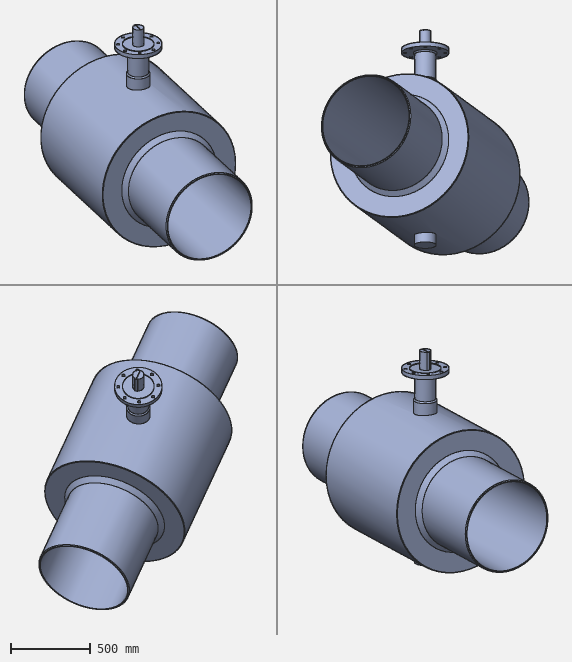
import cadquery as cq

LENGTH = 2000.0

PIPE_DIAMETER = 610.0
BORE_DIAMETER = 588.0
BEVEL_DIAMETER = 595.0
BEVEL_LENGTH = 5.0

HOUSING_DIAMETER = 945.0
HOUSING_LENGTH = 872.0
HOUSING_CHAMFER = 5.0
SHOULDER_DIAMETER = 672.0
SHOULDER_LENGTH = 32.0

COLLAR_DIAMETER = 150.0
COLLAR_TOP = 550.0
TUBE_DIAMETER = 135.0
CONE_HEIGHT = 10.0

FLANGE_DIAMETER = 300.0
FLANGE_TOP = 765.0
FLANGE_THICKNESS = 28.0
RECESS_DIAMETER = 200.0
RECESS_DEPTH = 5.0
BOLT_HOLE_DIAMETER = 18.0
BOLT_CIRCLE_DIAMETER = 255.0
BOLT_COUNT = 8

BOSS_DIAMETER = 138.0
BOSS_BOTTOM = -535.0

STEM_DIAMETER = 72.0
STEM_TOP = 880.0
KEY_WIDTH = 20.0
KEY_REACH = 40.0
MARK_WIDTH = 2.0
MARK_DEPTH = 2.0

PIPE_RADIUS = PIPE_DIAMETER / 2
HOUSING_RADIUS = HOUSING_DIAMETER / 2
FLANGE_BOTTOM = FLANGE_TOP - FLANGE_THICKNESS
RECESS_FLOOR = FLANGE_TOP - RECESS_DEPTH
NECK_ROOT = (PIPE_RADIUS + HOUSING_RADIUS) / 2


def vertical_cylinder(diameter, bottom, top):
    """Cylinder on the Z axis between two heights."""
    return cq.Workplane("XY").workplane(offset=bottom).circle(diameter / 2).extrude(top - bottom)


def make_pipe_and_housing():
    """Outer shell of the valve, revolved about the X axis."""
    end = LENGTH / 2
    face = HOUSING_LENGTH / 2
    shoulder_end = face + SHOULDER_LENGTH
    right_half = [
        (face - HOUSING_CHAMFER, HOUSING_RADIUS),
        (face, HOUSING_RADIUS - HOUSING_CHAMFER),
        (face, SHOULDER_DIAMETER / 2),
        (shoulder_end, PIPE_RADIUS),
        (end - BEVEL_LENGTH, PIPE_RADIUS),
        (end, BEVEL_DIAMETER / 2),
        (end, 0),
    ]
    left_half = [(-x, radius) for x, radius in reversed(right_half)]
    return cq.Workplane("XY").polyline(left_half + right_half).close().revolve(360, (0, 0, 0), (1, 0, 0))


def make_neck():
    """Stepped neck revolved about the Z axis, from the housing wall up to the flange."""
    collar_radius = COLLAR_DIAMETER / 2
    tube_radius = TUBE_DIAMETER / 2
    outline = [
        (0, NECK_ROOT),
        (collar_radius, NECK_ROOT),
        (collar_radius, COLLAR_TOP),
        (tube_radius, COLLAR_TOP + CONE_HEIGHT),
        (tube_radius, FLANGE_BOTTOM - CONE_HEIGHT),
        (collar_radius, FLANGE_BOTTOM),
        (0, FLANGE_BOTTOM),
    ]
    return cq.Workplane("XZ").polyline(outline).close().revolve(360, (0, 0, 0), (0, 1, 0))


def make_flange():
    """Round flange with a shallow centring recess and a ring of bolt holes."""
    flange = vertical_cylinder(FLANGE_DIAMETER, FLANGE_BOTTOM, FLANGE_TOP)
    recess = vertical_cylinder(RECESS_DIAMETER, RECESS_FLOOR, FLANGE_TOP)
    half_pitch = 180 / BOLT_COUNT
    bolt_holes = (
        cq.Workplane("XY")
        .workplane(offset=FLANGE_BOTTOM)
        .polarArray(BOLT_CIRCLE_DIAMETER / 2, half_pitch, 360, BOLT_COUNT)
        .circle(BOLT_HOLE_DIAMETER / 2)
        .extrude(FLANGE_THICKNESS)
    )
    return flange.cut(recess).cut(bolt_holes)


def make_valve_body():
    """Pipe, housing, neck, flange and bottom boss in one piece, bored through along X."""
    boss = vertical_cylinder(BOSS_DIAMETER, BOSS_BOTTOM, -NECK_ROOT)
    bore = cq.Workplane("YZ").circle(BORE_DIAMETER / 2).extrude(LENGTH / 2, both=True)
    return make_pipe_and_housing().union(make_neck()).union(make_flange()).union(boss).cut(bore)


def make_stem():
    """Stem on the recess floor, with a full-height key on its -X side and a mark along X in its top."""
    height = STEM_TOP - RECESS_FLOOR
    stem = vertical_cylinder(STEM_DIAMETER, RECESS_FLOOR, STEM_TOP)
    key = cq.Workplane("XY").box(KEY_REACH, KEY_WIDTH, height, centered=(False, True, False))
    mark = cq.Workplane("XY").box(2 * KEY_REACH, MARK_WIDTH, MARK_DEPTH, centered=(True, True, False))
    keyed_stem = stem.union(key.translate((-KEY_REACH, 0, RECESS_FLOOR)))
    return keyed_stem.cut(mark.translate((0, 0, STEM_TOP - MARK_DEPTH)))


valve_body = make_valve_body()
stem = make_stem()

result = cq.Compound.makeCompound([valve_body.val(), stem.val()])